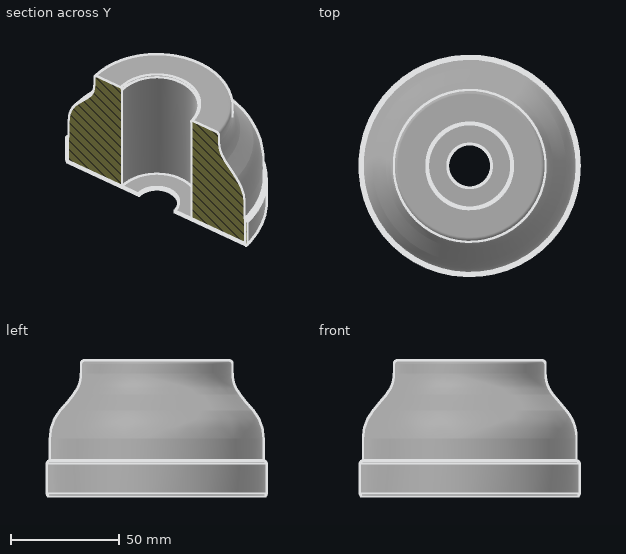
import cadquery as cq
import math

total_height = 63.0

cup_radius = 50.8
cup_height = 16.9
cup_wall = 1.4
cup_floor = 1.4
bevel_width = 0.7
bottom_bevel_height = 1.4
lip_outer_bevel_height = 1.0
lip_inner_bevel_height = 0.5
hole_radius = 10.0
hole_chamfer = 0.3

dome_radius = cup_radius - cup_wall
neck_radius = 35.1
shoulder_height = 26.8
dome_blend = 20.0
neck_blend = 15.0
slope_angle = math.radians(40)
top_round = 1.9
bore_radius = 19.2
bore_chamfer_width = 0.8
bore_chamfer_height = 1.0


def make_cup():
    """Revolve a thin cup with a bevelled lip and a central floor hole."""
    bevel_radius = cup_radius - bevel_width
    lip_mid_height = cup_height - lip_inner_bevel_height
    profile = (
        cq.Workplane("XZ")
        .moveTo(hole_radius, 0)
        .lineTo(bevel_radius, 0)
        .lineTo(cup_radius, bottom_bevel_height)
        .lineTo(cup_radius, lip_mid_height - lip_outer_bevel_height)
        .lineTo(bevel_radius, lip_mid_height)
        .lineTo(dome_radius, cup_height)
        .lineTo(dome_radius, cup_floor)
        .lineTo(hole_radius + hole_chamfer, cup_floor)
        .lineTo(hole_radius, cup_floor - hole_chamfer)
        .close()
    )
    return profile.revolve(360, (0, 0, 0), (0, 1, 0))


def arc_point(center, radius, angle):
    """Point on an arc, with the angle measured from the outward radial direction."""
    return center[0] + radius * math.cos(angle), center[1] + radius * math.sin(angle)


def make_bell():
    """Revolve the bored bell, whose dome and neck arcs are tangent to a straight flank."""
    blend_sum = dome_blend + neck_blend
    flank_width = dome_radius - neck_radius - blend_sum * (1 - math.cos(slope_angle))
    flank_height = flank_width / math.tan(slope_angle)
    neck_start = shoulder_height + flank_height + blend_sum * math.sin(slope_angle)

    dome_center = (dome_radius - dome_blend, shoulder_height)
    neck_center = (neck_radius + neck_blend, neck_start)
    dome_middle = arc_point(dome_center, dome_blend, slope_angle / 2)
    dome_end = arc_point(dome_center, dome_blend, slope_angle)
    flank_end = arc_point(neck_center, neck_blend, math.pi + slope_angle)
    neck_middle = arc_point(neck_center, neck_blend, math.pi + slope_angle / 2)

    round_center = (neck_radius - top_round, total_height - top_round)
    round_middle = arc_point(round_center, top_round, math.pi / 4)

    profile = (
        cq.Workplane("XZ")
        .moveTo(bore_radius, cup_floor)
        .lineTo(dome_radius, cup_floor)
        .lineTo(dome_radius, shoulder_height)
        .threePointArc(dome_middle, dome_end)
        .lineTo(*flank_end)
        .threePointArc(neck_middle, (neck_radius, neck_start))
        .lineTo(neck_radius, round_center[1])
        .threePointArc(round_middle, (round_center[0], total_height))
        .lineTo(bore_radius + bore_chamfer_width, total_height)
        .lineTo(bore_radius, total_height - bore_chamfer_height)
        .close()
    )
    return profile.revolve(360, (0, 0, 0), (0, 1, 0))


cup = make_cup()
bell = make_bell()
result = cq.Compound.makeCompound([cup.val(), bell.val()])